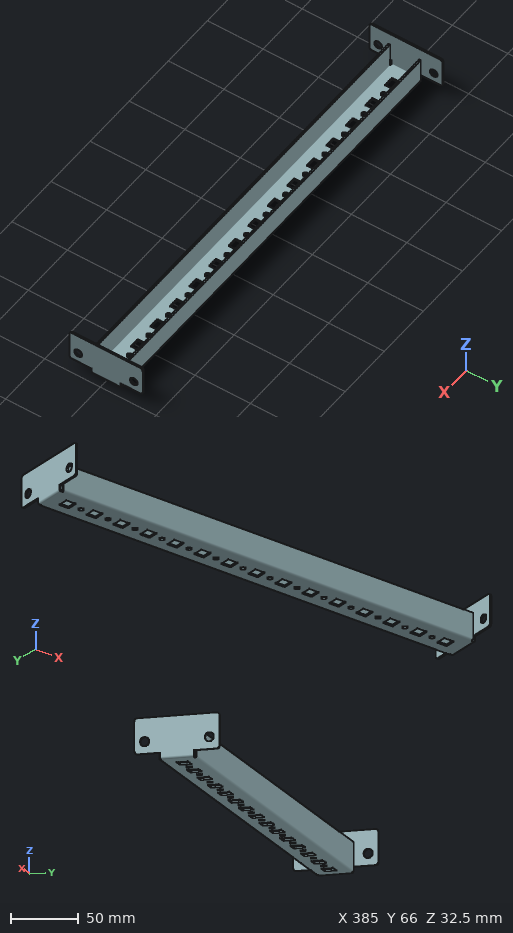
import cadquery as cq


length = 385.0
plate_width = 66.0
height = 32.5

sheet = 1.5
bend_inner_radius = 0.2
bend_outer_radius = bend_inner_radius + sheet

channel_width = 29.3
flange_height = 23.0
flange_end_setback = 3.0
tab_width = channel_width - 2 * bend_outer_radius

plate_bottom = 5.0
plate_height = height - plate_bottom
tab_height = plate_bottom + plate_height / 2
plate_corner_radius = 2.5
plate_hole_diameter = 7.0
plate_hole_spacing = 50.0
plate_hole_height = 14.2

square_row_span = 350.0
square_count = 15
hole_pitch = square_row_span / (square_count - 1)
square_size = 9.0
round_diameter = 4.2


def folded_channel(plane, width, wall_height, run):
    """U-shaped bent sheet standing on the plane's x axis, extruded both ways along the plane's normal."""
    half_width = width / 2
    inner_half = half_width - sheet
    outer_flat = half_width - bend_outer_radius
    return (
        cq.Workplane(plane)
        .moveTo(-half_width, wall_height)
        .lineTo(-half_width, bend_outer_radius)
        .radiusArc((-outer_flat, 0), -bend_outer_radius)
        .lineTo(outer_flat, 0)
        .radiusArc((half_width, bend_outer_radius), -bend_outer_radius)
        .lineTo(half_width, wall_height)
        .lineTo(inner_half, wall_height)
        .lineTo(inner_half, bend_outer_radius)
        .radiusArc((outer_flat, sheet), bend_inner_radius)
        .lineTo(-outer_flat, sheet)
        .radiusArc((-inner_half, bend_outer_radius), bend_inner_radius)
        .lineTo(-inner_half, wall_height)
        .close()
        .extrude(run / 2, both=True)
    )


def mounting_plate(outer_face_x, inward):
    """Upright rounded plate with two bolt holes; inward is the x direction from its outer face."""
    hole_places = [(side * plate_hole_spacing / 2, plate_hole_height) for side in (-1, 1)]
    blank = (
        cq.Workplane("YZ", origin=(outer_face_x, 0, 0))
        .center(0, plate_bottom + plate_height / 2)
        .rect(plate_width, plate_height)
        .extrude(inward * sheet)
        .edges("|X")
        .fillet(plate_corner_radius)
    )
    holes = (
        cq.Workplane("YZ", origin=(outer_face_x, 0, 0))
        .pushPoints(hole_places)
        .circle(plate_hole_diameter / 2)
        .extrude(inward * sheet)
    )
    return blank.cut(holes)


def row_places(count):
    """Hole centres of a row along the web, symmetric about its middle."""
    return [((i - (count - 1) / 2) * hole_pitch, 0) for i in range(count)]


flanged_rail = folded_channel("YZ", channel_width, flange_height, length - 2 * flange_end_setback)
end_tabs = folded_channel("XZ", length, tab_height, tab_width)
result = flanged_rail.union(end_tabs)
for end in (-1, 1):
    result = result.union(mounting_plate(end * length / 2, -end))

square_holes = (
    cq.Workplane("XY").pushPoints(row_places(square_count)).rect(square_size, square_size).extrude(sheet)
)
round_holes = (
    cq.Workplane("XY").pushPoints(row_places(square_count - 1)).circle(round_diameter / 2).extrude(sheet)
)
result = result.cut(square_holes).cut(round_holes).clean()